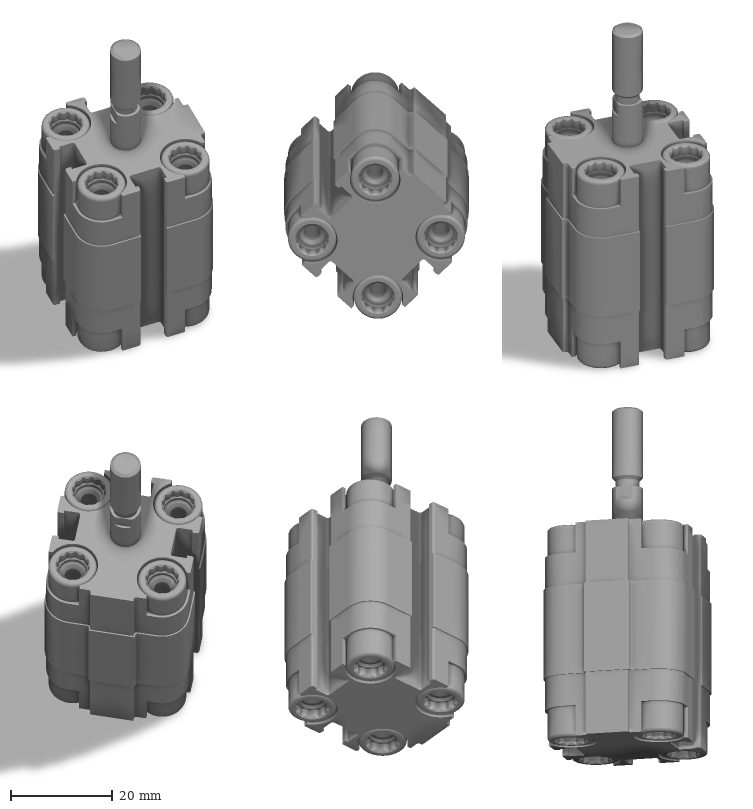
import cadquery as cq
import math

HOUSING_HEIGHT = 43.1
TUBE_BOTTOM = 12.55
TUBE_TOP = 30.55

TUBE_WIDTH = 29.0
TUBE_HALF_WIDTH = TUBE_WIDTH / 2
CAP_SETBACK = 0.3
SCREW_OFFSET = 9.0

RIB_HALF_WIDTH = 4.6
RIB_HEIGHT = 1.0
CAP_RIB_FOOT_ROUND = 0.5
TUBE_RIB_FOOT_ROUND = 0.7

SLOT_MOUTH_HALF_WIDTH = 2.75
SLOT_HALF_WIDTH = 3.35
SLOT_FLOOR = 9.6
SLOT_LIP_BACK = 12.9
SLOT_SIDES = (0, 90, -90)
TUBE_SLOT_ROUND = 0.2
CAP_SLOT_ROUND = 0.5

RECESS_EDGE = 6.7
BOTTOM_RECESS_DEPTH = 6.15
TOP_RECESS_DEPTH = 6.0
HEAD_DIAMETER = 9.5
HEAD_CLEARANCE = 0.24
HEAD_INSET = 0.15
HEAD_ROUND = 0.7
SOCKET_POINTS = 12
SOCKET_ROOT_DIAMETER = 6.1
SOCKET_TIP_DIAMETER = SOCKET_ROOT_DIAMETER * math.cos(math.radians(15)) / math.cos(math.radians(30))
SOCKET_RIM_DIAMETER = 6.9
SOCKET_FLOOR_DIAMETER = 5.7
SOCKET_TOOTH_DEPTH = 2.1
SOCKET_DEPTH = 2.95
BORE_DIAMETER = 3.2
BORE_MOUTH_DIAMETER = 4.45

ROD_TOP = 68.5
ROD_DIAMETER = 6.0
NECK_DIAMETER = 4.8
SHOULDER_HEIGHT = 52.55
THREAD_BOTTOM = 54.05
FLATS_BOTTOM = 49.95
FLATS_WIDTH = 5.0
TIP_CHAMFER_HEIGHT = 0.4

DIAGONAL = math.sqrt(0.5)


def outer_block(half_width, rib_half_width, foot, height):
    """Square block with rounded corners and the flat rib along its +Y side."""
    rib_top = half_width + RIB_HEIGHT
    body = (
        cq.Workplane("XY")
        .rect(2 * half_width, 2 * half_width)
        .extrude(height)
        .edges("|Z")
        .fillet(half_width - SCREW_OFFSET)
    )
    arc_inset = foot * (1 - DIAGONAL)
    rib = (
        cq.Workplane("XY")
        .lineTo(rib_half_width + foot, 0)
        .lineTo(rib_half_width + foot, half_width)
        .threePointArc(
            (rib_half_width + arc_inset, half_width + arc_inset),
            (rib_half_width, half_width + foot),
        )
        .lineTo(rib_half_width, rib_top)
        .lineTo(0, rib_top)
        .mirrorY()
        .extrude(height)
    )
    return body.union(rib)


def slot_cutter(half_width, corner_round, height):
    """T-slot opening toward -Y, with rounded mouth edges and rounded floor corners."""
    mouth = SLOT_MOUTH_HALF_WIDTH
    arc_inset = corner_round * (1 - DIAGONAL)
    return (
        cq.Workplane("XY")
        .moveTo(0, -2 * half_width)
        .lineTo(mouth + corner_round, -2 * half_width)
        .lineTo(mouth + corner_round, -half_width)
        .threePointArc(
            (mouth + arc_inset, -half_width + arc_inset),
            (mouth, -half_width + corner_round),
        )
        .lineTo(mouth, -SLOT_LIP_BACK)
        .lineTo(SLOT_HALF_WIDTH, -SLOT_LIP_BACK)
        .lineTo(SLOT_HALF_WIDTH, -SLOT_FLOOR - corner_round)
        .threePointArc(
            (SLOT_HALF_WIDTH - arc_inset, -SLOT_FLOOR - arc_inset),
            (SLOT_HALF_WIDTH - corner_round, -SLOT_FLOOR),
        )
        .lineTo(0, -SLOT_FLOOR)
        .mirrorY()
        .extrude(height)
    )


def slotted_length(setback, rib_foot, slot_round, bottom, top):
    """Length of the housing between two heights, its outline set back from that of the tube."""
    half_width = TUBE_HALF_WIDTH - setback
    height = top - bottom
    length = outer_block(half_width, RIB_HALF_WIDTH - setback, rib_foot, height)
    slot = slot_cutter(half_width, slot_round, height)
    for turn in SLOT_SIDES:
        length = length.cut(slot.rotate((0, 0, 0), (0, 0, 1), turn))
    return length.translate((0, 0, bottom))


def corner_recess(depth):
    """Cut below Z = 0 that clears a +X +Y corner around its screw head."""
    beyond = TUBE_HALF_WIDTH
    corner = cq.Workplane("XY").box(beyond, beyond, depth, centered=False)
    corner = corner.translate((RECESS_EDGE, RECESS_EDGE, -depth))
    clearance = (
        cq.Workplane("XY")
        .center(SCREW_OFFSET, SCREW_OFFSET)
        .circle(HEAD_DIAMETER / 2 + HEAD_CLEARANCE)
        .extrude(-depth)
    )
    return corner.union(clearance)


def screw_head(recess_depth):
    """Round head that stands on a recess floor and ends just below Z = 0."""
    return (
        cq.Workplane("XY")
        .workplane(offset=-recess_depth)
        .center(SCREW_OFFSET, SCREW_OFFSET)
        .circle(HEAD_DIAMETER / 2)
        .extrude(recess_depth - HEAD_INSET)
        .faces(">Z")
        .edges()
        .fillet(HEAD_ROUND)
    )


def socket_cutter():
    """Star socket below Z = 0 with a bevelled rim, a plain round floor and a countersunk bore mouth."""
    tip_radius = SOCKET_TIP_DIAMETER / 2
    root_radius = SOCKET_ROOT_DIAMETER / 2
    rim_radius = SOCKET_RIM_DIAMETER / 2
    floor_radius = SOCKET_FLOOR_DIAMETER / 2
    star = []
    for corner in range(2 * SOCKET_POINTS):
        radius = root_radius if corner % 2 else tip_radius
        angle = math.pi * corner / SOCKET_POINTS
        star.append((radius * math.cos(angle), radius * math.sin(angle)))
    teeth = (
        cq.Workplane("XY").polyline(star).close()
        .extrude(-SOCKET_TOOTH_DEPTH - HEAD_INSET)
    )
    floor = -SOCKET_DEPTH - HEAD_INSET
    mouth_depth = (BORE_MOUTH_DIAMETER - BORE_DIAMETER) / 2
    plain_part = (
        cq.Workplane("XZ")
        .lineTo(rim_radius, 0)
        .lineTo(rim_radius, -HEAD_INSET)
        .lineTo(floor_radius, -HEAD_INSET - rim_radius + floor_radius)
        .lineTo(floor_radius, floor)
        .lineTo(BORE_MOUTH_DIAMETER / 2, floor)
        .lineTo(BORE_DIAMETER / 2, floor - mouth_depth)
        .lineTo(0, floor - mouth_depth)
        .close()
        .revolve(360, (0, 0, 0), (0, 1, 0))
    )
    return teeth.union(plain_part).translate((SCREW_OFFSET, SCREW_OFFSET, 0))


def onto_top(shape):
    return shape.translate((0, 0, HOUSING_HEIGHT))


def onto_bottom(shape):
    return shape.mirror("XY")


def make_housing():
    cap_outline = (CAP_SETBACK, CAP_RIB_FOOT_ROUND, CAP_SLOT_ROUND)
    tube_outline = (0, TUBE_RIB_FOOT_ROUND, TUBE_SLOT_ROUND)
    body = slotted_length(*cap_outline, 0, TUBE_BOTTOM)
    body = body.union(slotted_length(*tube_outline, TUBE_BOTTOM, TUBE_TOP))
    body = body.union(slotted_length(*cap_outline, TUBE_TOP, HOUSING_HEIGHT))

    socket = socket_cutter()
    bore = (
        cq.Workplane("XY")
        .center(SCREW_OFFSET, SCREW_OFFSET)
        .circle(BORE_DIAMETER / 2)
        .extrude(HOUSING_HEIGHT)
    )
    for quarter in range(4):
        turn = 90 * quarter
        for place, depth in ((onto_top, TOP_RECESS_DEPTH), (onto_bottom, BOTTOM_RECESS_DEPTH)):
            recess = place(corner_recess(depth)).rotate((0, 0, 0), (0, 0, 1), turn)
            head = place(screw_head(depth).cut(socket)).rotate((0, 0, 0), (0, 0, 1), turn)
            drive = place(socket).rotate((0, 0, 0), (0, 0, 1), turn)
            body = body.cut(recess).union(head).cut(drive)
        body = body.cut(bore.rotate((0, 0, 0), (0, 0, 1), turn))

    rod_hole = (
        cq.Workplane("XY").workplane(offset=TUBE_TOP)
        .circle(ROD_DIAMETER / 2)
        .extrude(HOUSING_HEIGHT - TUBE_TOP)
    )
    return body.cut(rod_hole)


def make_piston_rod():
    rod_radius = ROD_DIAMETER / 2
    neck_radius = NECK_DIAMETER / 2
    rod = (
        cq.Workplane("XZ")
        .moveTo(0, TUBE_TOP)
        .lineTo(rod_radius, TUBE_TOP)
        .lineTo(rod_radius, SHOULDER_HEIGHT)
        .lineTo(neck_radius, SHOULDER_HEIGHT)
        .lineTo(neck_radius, THREAD_BOTTOM)
        .lineTo(rod_radius, THREAD_BOTTOM + rod_radius - neck_radius)
        .lineTo(rod_radius, ROD_TOP - TIP_CHAMFER_HEIGHT)
        .lineTo(neck_radius, ROD_TOP)
        .lineTo(0, ROD_TOP)
        .close()
        .revolve(360, (0, 0, 0), (0, 1, 0))
    )
    flats_height = SHOULDER_HEIGHT - FLATS_BOTTOM
    for side in (1, -1):
        flat = cq.Workplane("XY").box(ROD_DIAMETER, ROD_DIAMETER, flats_height).translate(
            (0, side * (FLATS_WIDTH + ROD_DIAMETER) / 2, FLATS_BOTTOM + flats_height / 2)
        )
        rod = rod.cut(flat)
    return rod


housing = make_housing()
piston_rod = make_piston_rod()
result = cq.Compound.makeCompound([housing.val(), piston_rod.val()])